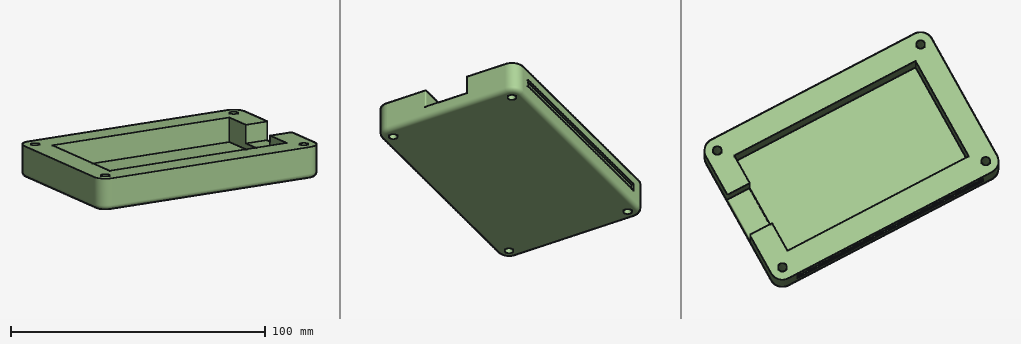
import cadquery as cq

width = 64.0
length = 101.0
height = 13.0
corner_radius = 5.0
bottom_fillet = 2.0

wall = 10.0
floor_thickness = 3.0

notch_width = 18.5
notch_depth = 7.6
notch_edge_radius = 0.5

hole_diameter = 3.4
hole_inset = 5.0

groove_length = 83.0
groove_height = 3.0
groove_top_gap = 4.0
groove_depth = 1.0


def make_body():
    """Rounded block standing on Z = 0, with a filleted bottom edge."""
    block = cq.Workplane("XY").box(width, length, height, centered=(True, True, False))
    return block.edges("|Z").fillet(corner_radius).faces("<Z").edges().fillet(bottom_fillet)


def make_pocket():
    """Rectangular space inside the walls, open at the top."""
    return (
        cq.Workplane("XY")
        .workplane(offset=floor_thickness)
        .rect(width - 2 * wall, length - 2 * wall)
        .extrude(height - floor_thickness)
    )


def make_notch():
    """Opening from the pocket out through the rear wall."""
    notch = cq.Workplane("XY").box(notch_width, wall, notch_depth, centered=(True, False, False))
    return notch.translate((0, length / 2 - wall, height - notch_depth))


def make_holes():
    """Four through holes for the corner screws."""
    return (
        cq.Workplane("XY")
        .rect(width - 2 * hole_inset, length - 2 * hole_inset, forConstruction=True)
        .vertices()
        .circle(hole_diameter / 2)
        .extrude(height)
    )


def make_groove():
    """Straight groove along the -X side."""
    groove = cq.Workplane("XY").box(
        groove_depth, groove_length, groove_height, centered=(False, True, False)
    )
    return groove.translate((-width / 2, 0, height - groove_top_gap - groove_height))


def round_notch_mouth(case):
    """Round the floor and side edges of the notch where it meets the outer rear face."""
    notch_floor = height - notch_depth
    mouth_edges = cq.selectors.BoxSelector(
        (-notch_width, length / 2 - notch_edge_radius, notch_floor - notch_edge_radius),
        (notch_width, length / 2 + notch_edge_radius, height - notch_edge_radius),
    )
    return case.edges(mouth_edges).fillet(notch_edge_radius)


case = make_body().cut(make_pocket()).cut(make_notch()).cut(make_holes()).cut(make_groove())
result = round_notch_mouth(case)